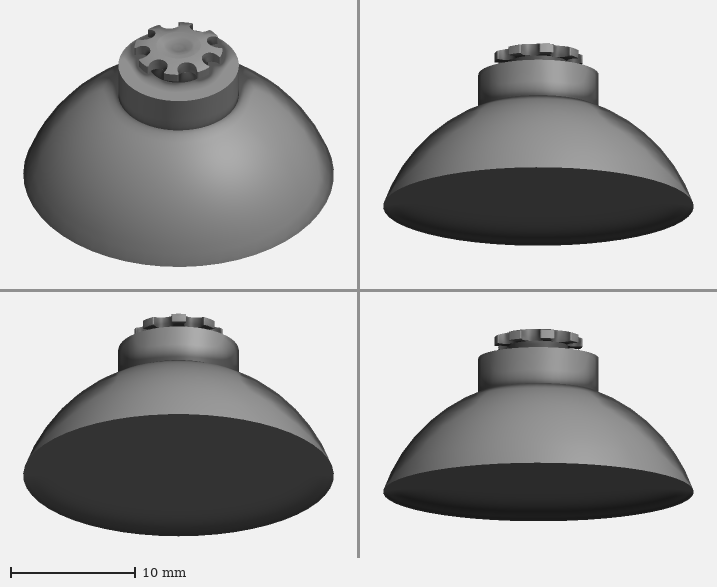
import cadquery as cq
import math

CUP_HEIGHT = 8.0
COLLAR_HEIGHT = 2.94
NECK_HEIGHT = 1.0
HEAD_HEIGHT = 1.0

CUP_RADIUS = 25.0 / 2
COLLAR_RADIUS = 9.7 / 2
NECK_RADIUS = 4.75 / 2
HEAD_RADIUS = 7.1 / 2

HEAD_RIM_HEIGHT = 0.67
DIMPLE_MOUTH_RADIUS = 1.79
DIMPLE_BOWL_RADIUS = 1.03
DIMPLE_DEPTH = 0.3
BOWL_EDGE_DEPTH = DIMPLE_DEPTH * (1 - DIMPLE_BOWL_RADIUS / DIMPLE_MOUTH_RADIUS)

NOTCH_COUNT = 8
NOTCH_RADIUS = 0.78
NOTCH_FLOOR_RADIUS = 2.35
NOTCH_CENTRE_RADIUS = NOTCH_FLOOR_RADIUS + NOTCH_RADIUS
TOOTH_CORNER_RADIUS = 0.1

COLLAR_TOP = CUP_HEIGHT + COLLAR_HEIGHT
HEAD_BOTTOM = COLLAR_TOP + NECK_HEIGHT
HEAD_TOP = HEAD_BOTTOM + HEAD_HEIGHT
RIM_TOP = HEAD_BOTTOM + HEAD_RIM_HEIGHT


def point_on_circle(centre, radius, angle):
    """Point (r, z) on a circle, with the angle measured from the outward direction."""
    r, z = centre
    return (r + radius * math.cos(angle), z + radius * math.sin(angle))


def cup_mid_point():
    """Middle of the spherical cup profile, whose centre lies on the axis below the base."""
    centre_z = (COLLAR_RADIUS**2 + CUP_HEIGHT**2 - CUP_RADIUS**2) / (2 * CUP_HEIGHT)
    radius = math.hypot(CUP_RADIUS, centre_z)
    base_angle = math.atan2(-centre_z, CUP_RADIUS)
    top_angle = math.atan2(CUP_HEIGHT - centre_z, COLLAR_RADIUS)
    return point_on_circle((0, centre_z), radius, (base_angle + top_angle) / 2)


def crown_mid_point():
    """Middle of the crown arc, which is level at the dimple mouth and falls to the rim."""
    drop = HEAD_TOP - RIM_TOP
    run = HEAD_RADIUS - DIMPLE_MOUTH_RADIUS
    radius = (run**2 + drop**2) / (2 * drop)
    rim_angle = math.asin((radius - drop) / radius)
    centre = (DIMPLE_MOUTH_RADIUS, HEAD_TOP - radius)
    return point_on_circle(centre, radius, (rim_angle + math.pi / 2) / 2)


def make_body():
    """Cup, collar and neck revolved as one profile."""
    profile = (
        cq.Workplane("XZ")
        .lineTo(CUP_RADIUS, 0)
        .threePointArc(cup_mid_point(), (COLLAR_RADIUS, CUP_HEIGHT))
        .lineTo(COLLAR_RADIUS, COLLAR_TOP)
        .lineTo(NECK_RADIUS, COLLAR_TOP)
        .lineTo(NECK_RADIUS, HEAD_BOTTOM)
        .lineTo(0, HEAD_BOTTOM)
        .close()
    )
    return profile.revolve(360, (0, 0, 0), (0, 1, 0))


def make_head_blank():
    """Round head with a crowned top and a smooth dimple, before it is notched."""
    profile = (
        cq.Workplane("XZ")
        .moveTo(0, HEAD_BOTTOM)
        .lineTo(HEAD_RADIUS, HEAD_BOTTOM)
        .lineTo(HEAD_RADIUS, RIM_TOP)
        .threePointArc(crown_mid_point(), (DIMPLE_MOUTH_RADIUS, HEAD_TOP))
        .tangentArcPoint((DIMPLE_BOWL_RADIUS, HEAD_TOP - BOWL_EDGE_DEPTH), relative=False)
        .tangentArcPoint((0, HEAD_TOP - DIMPLE_DEPTH), relative=False)
        .close()
    )
    return profile.revolve(360, (0, 0, 0), (0, 1, 0))


def make_notched_prism():
    """Upright prism with the notched outline of the head and rounded tooth corners."""
    head_plane = cq.Workplane("XY").workplane(offset=HEAD_BOTTOM)
    disc = head_plane.circle(HEAD_RADIUS).extrude(HEAD_HEIGHT)
    notches = (
        head_plane.polarArray(NOTCH_CENTRE_RADIUS, 0, 360, NOTCH_COUNT)
        .circle(NOTCH_RADIUS)
        .extrude(HEAD_HEIGHT)
    )
    return disc.cut(notches).edges("|Z").fillet(TOOTH_CORNER_RADIUS)


head = make_head_blank().intersect(make_notched_prism())
result = make_body().union(head)